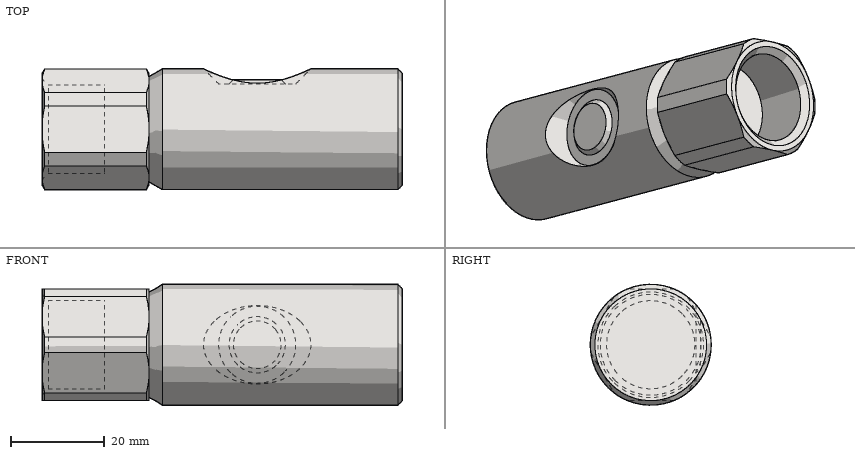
import cadquery as cq
import math

length = 77.4
body_diameter = 26.0
end_chamfer = 1.0

hex_length = 23.0
hex_sides = 6
hex_across_flats = 24.0
hex_chamfer_angle = 30.0

neck_diameter = 22.7
shoulder_angle = 30.0

bore_diameter = 19.0
bore_mouth_diameter = 21.7
bore_depth = 13.5

recess_x = 46.2
recess_floor_diameter = 16.6
recess_depth = 3.25
boss_base_diameter = 12.1
boss_top_diameter = 10.2

body_radius = body_diameter / 2


def make_collar():
    """Hexagon with flats facing +/-Z, trimmed by a cylinder with conical ends."""
    hexagon = (
        cq.Workplane("YZ")
        .polygon(hex_sides, hex_across_flats / math.cos(math.pi / hex_sides))
        .extrude(hex_length)
    )
    chamfer_width = (body_diameter - hex_across_flats) / 2
    chamfer_length = chamfer_width * math.tan(math.radians(hex_chamfer_angle))
    envelope = (
        cq.Workplane("XY")
        .moveTo(0, 0)
        .lineTo(0, hex_across_flats / 2)
        .lineTo(chamfer_length, body_radius)
        .lineTo(hex_length - chamfer_length, body_radius)
        .lineTo(hex_length, hex_across_flats / 2)
        .lineTo(hex_length, 0)
        .close()
        .revolve(360, (0, 0, 0), (1, 0, 0))
    )
    return hexagon.intersect(envelope)


def make_barrel():
    """Round body with a conical shoulder at the collar and a chamfered +X end."""
    neck_radius = neck_diameter / 2
    shoulder_length = (body_radius - neck_radius) / math.tan(math.radians(shoulder_angle))
    return (
        cq.Workplane("XY")
        .moveTo(hex_length, 0)
        .lineTo(hex_length, neck_radius)
        .lineTo(hex_length + shoulder_length, body_radius)
        .lineTo(length - end_chamfer, body_radius)
        .lineTo(length, body_radius - end_chamfer)
        .lineTo(length, 0)
        .close()
        .revolve(360, (0, 0, 0), (1, 0, 0))
    )


def make_bore():
    """Blind bore with a 45 degree countersunk mouth."""
    bore_radius = bore_diameter / 2
    mouth_radius = bore_mouth_diameter / 2
    return (
        cq.Workplane("XY")
        .moveTo(0, 0)
        .lineTo(0, mouth_radius)
        .lineTo(mouth_radius - bore_radius, bore_radius)
        .lineTo(bore_depth, bore_radius)
        .lineTo(bore_depth, 0)
        .close()
        .revolve(360, (0, 0, 0), (1, 0, 0))
    )


def make_recess():
    """Ring-shaped 45 degree conical cut parallel to Y, leaving a 45 degree boss standing."""
    floor_y = body_radius - recess_depth
    floor_radius = recess_floor_diameter / 2
    boss_base_radius = boss_base_diameter / 2
    boss_top_radius = boss_top_diameter / 2
    boss_y = floor_y + boss_base_radius - boss_top_radius
    return (
        cq.Workplane("XY")
        .moveTo(recess_x, boss_y)
        .lineTo(recess_x + boss_top_radius, boss_y)
        .lineTo(recess_x + boss_base_radius, floor_y)
        .lineTo(recess_x + floor_radius, floor_y)
        .lineTo(recess_x + floor_radius + recess_depth, body_radius)
        .lineTo(recess_x, body_radius)
        .close()
        .revolve(360, (recess_x, 0, 0), (recess_x, 1, 0))
    )


result = make_collar().union(make_barrel()).cut(make_bore()).cut(make_recess())